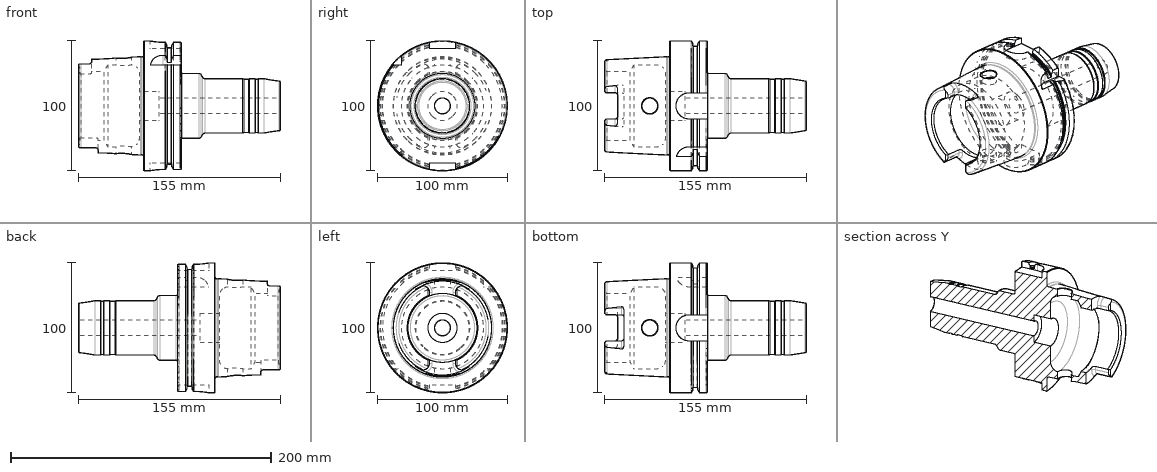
import cadquery as cq
import math

SHANK_LENGTH = 50.0
NOSE_END = 105.0

TAPER_RATIO = 1 / 10
TAPER_GAUGE_RADIUS = 37.5
TAPER_GAUGE_X = -10.0
TAPER_END_X = -2.4
SHANK_ROUND = 2.0
RELIEF_RADIUS = 75.42 / 2
RELIEF_START_X = -1.6
RELIEF_FILLET = 1.3

FLANGE_RADIUS = 50.0
FLANGE_WIDTH = 29.0
FLANGE_FRONT_CHAMFER = 0.5
FLANGE_BACK_ROUND = 1.0
GROOVE_RADIUS = 46.0
GROOVE_CENTRE_X = 19.7
GROOVE_WIDTH = 3.7
GROOVE_FLANK_ANGLE = math.radians(30)
GROOVE_FRONT_EDGE_X = 16.7
GROOVE_BACK_EDGE_X = 22.95
GROOVE_EDGE_ROUND = 0.5
GROOVE_FLOOR_FILLET = 0.45

NECK_RADIUS = 25.0
NECK_END_X = 42.5
NECK_FILLET = 1.0
SHOULDER_ROUND = 2.0
SHOULDER_ANGLE = math.radians(60)
NOSE_RADIUS = 21.0
NOSE_GROOVE_RADIUS = 20.5
NOSE_GROOVE_WALL = 0.5
LONG_GROOVE_START_X = 76.1
LONG_GROOVE_LEAD = 1.0
LONG_GROOVE_END_X = 81.2
SHORT_GROOVE_START_X = 85.5
SHORT_GROOVE_END_X = 88.2
NOSE_TAPER_START_X = 92.5
NOSE_TAPER_ANGLE = math.radians(9)
NOSE_ROUND = 1.0

BORE_RADIUS = 26.5
BORE_CHAMFER = 0.7
BORE_CHAMFER_LENGTH = 1.9
BORE_LAND_LENGTH = 19.6
UNDERCUT_RADIUS = 31.5
UNDERCUT_SHOULDER_ANGLE = math.radians(60)
BORE_DEPTH = 46.8
FLOOR_RADIUS = 24.7
COOLANT_THREAD_RADIUS = 22.38 / 2
COOLANT_THREAD_LENGTH = 15.0
THROUGH_RADIUS = 6.0

KEYWAY_WIDTH = 20.0
KEYWAY_TOP = 32.3
KEYWAY_CORNER_RADIUS = 5.0
KEYWAY_FLOOR_FILLET = 2.0
KEYWAY_EDGE_CHAMFER = 1.2
UPPER_KEYWAY_DEPTH = 10.0
LOWER_KEYWAY_DEPTH = 15.0

CROSS_HOLE_RADIUS = 6.0
CROSS_HOLE_CHAMFER = 0.4
CROSS_HOLE_X = -15.3

SLOT_RADIUS = 10.0
SLOT_CENTRE_X = 14.8
SLOT_FLOOR = 44.0
NOTCH_FLOOR = 31.5
NOTCH_WALL = 31.5

CLEARANCE = 10.0


def taper_radius(x):
    """Outer radius of the taper at position x."""
    return TAPER_GAUGE_RADIUS + (x - TAPER_GAUGE_X) * TAPER_RATIO / 2


def revolve_about_x(outline):
    return outline.close().revolve(360, (0, 0, 0), (1, 0, 0))


def shank_body():
    """Taper with a rounded open end and a relief that blends into the flange face."""
    outline = (
        cq.Workplane("XY")
        .moveTo(-SHANK_LENGTH, 0)
        .lineTo(-SHANK_LENGTH, taper_radius(-SHANK_LENGTH))
        .lineTo(TAPER_END_X, taper_radius(TAPER_END_X))
        .lineTo(RELIEF_START_X, RELIEF_RADIUS)
        .lineTo(-RELIEF_FILLET, RELIEF_RADIUS)
        .radiusArc((0, RELIEF_RADIUS + RELIEF_FILLET), -RELIEF_FILLET)
        .lineTo(0, 0)
    )
    return revolve_about_x(outline).faces("<X").edges().fillet(SHANK_ROUND)


def flange_body():
    """Flange with the gripper groove: sloped flanks above a straight-walled floor channel."""
    front_wall_x = GROOVE_CENTRE_X - GROOVE_WIDTH / 2
    back_wall_x = GROOVE_CENTRE_X + GROOVE_WIDTH / 2
    front_flank_depth = (front_wall_x - GROOVE_FRONT_EDGE_X) / math.tan(GROOVE_FLANK_ANGLE)
    back_flank_depth = (GROOVE_BACK_EDGE_X - back_wall_x) / math.tan(GROOVE_FLANK_ANGLE)
    tangent_length = GROOVE_EDGE_ROUND * math.tan((math.pi / 2 - GROOVE_FLANK_ANGLE) / 2)
    round_end = (
        GROOVE_FRONT_EDGE_X + tangent_length * math.sin(GROOVE_FLANK_ANGLE),
        FLANGE_RADIUS - tangent_length * math.cos(GROOVE_FLANK_ANGLE),
    )
    fillet_top = GROOVE_RADIUS + GROOVE_FLOOR_FILLET
    outline = (
        cq.Workplane("XY")
        .moveTo(0, 0)
        .lineTo(0, FLANGE_RADIUS - FLANGE_FRONT_CHAMFER)
        .lineTo(FLANGE_FRONT_CHAMFER, FLANGE_RADIUS)
        .lineTo(GROOVE_FRONT_EDGE_X - tangent_length, FLANGE_RADIUS)
        .radiusArc(round_end, GROOVE_EDGE_ROUND)
        .lineTo(front_wall_x, FLANGE_RADIUS - front_flank_depth)
        .lineTo(front_wall_x, fillet_top)
        .radiusArc((front_wall_x + GROOVE_FLOOR_FILLET, GROOVE_RADIUS), -GROOVE_FLOOR_FILLET)
        .lineTo(back_wall_x - GROOVE_FLOOR_FILLET, GROOVE_RADIUS)
        .radiusArc((back_wall_x, fillet_top), -GROOVE_FLOOR_FILLET)
        .lineTo(back_wall_x, FLANGE_RADIUS - back_flank_depth)
        .lineTo(GROOVE_BACK_EDGE_X, FLANGE_RADIUS)
        .lineTo(FLANGE_WIDTH - FLANGE_BACK_ROUND, FLANGE_RADIUS)
        .radiusArc((FLANGE_WIDTH, FLANGE_RADIUS - FLANGE_BACK_ROUND), FLANGE_BACK_ROUND)
        .lineTo(FLANGE_WIDTH, 0)
    )
    return revolve_about_x(outline)


def nose_groove(outline, start_x, lead, end_x):
    """Shallow ring groove with sloped walls, added to the nose outline."""
    return (
        outline.lineTo(start_x, NOSE_RADIUS)
        .lineTo(start_x + lead, NOSE_GROOVE_RADIUS)
        .lineTo(end_x - NOSE_GROOVE_WALL, NOSE_GROOVE_RADIUS)
        .lineTo(end_x, NOSE_RADIUS)
    )


def nose_body():
    """Neck, sloped shoulder and grooved nose with a tapered tip."""
    arc_length = SHOULDER_ROUND * math.sin(SHOULDER_ANGLE)
    arc_drop = SHOULDER_ROUND * (1 - math.cos(SHOULDER_ANGLE))
    cone_length = (NECK_RADIUS - NOSE_RADIUS - 2 * arc_drop) / math.tan(SHOULDER_ANGLE)
    cone_end_x = NECK_END_X + arc_length + cone_length
    tip_radius = NOSE_RADIUS - (NOSE_END - NOSE_TAPER_START_X) * math.tan(NOSE_TAPER_ANGLE)

    outline = (
        cq.Workplane("XY")
        .moveTo(FLANGE_WIDTH, 0)
        .lineTo(FLANGE_WIDTH, NECK_RADIUS + NECK_FILLET)
        .radiusArc((FLANGE_WIDTH + NECK_FILLET, NECK_RADIUS), -NECK_FILLET)
        .lineTo(NECK_END_X, NECK_RADIUS)
        .radiusArc((NECK_END_X + arc_length, NECK_RADIUS - arc_drop), SHOULDER_ROUND)
        .lineTo(cone_end_x, NOSE_RADIUS + arc_drop)
        .radiusArc((cone_end_x + arc_length, NOSE_RADIUS), -SHOULDER_ROUND)
    )
    outline = nose_groove(outline, LONG_GROOVE_START_X, LONG_GROOVE_LEAD, LONG_GROOVE_END_X)
    outline = nose_groove(outline, SHORT_GROOVE_START_X, NOSE_GROOVE_WALL, SHORT_GROOVE_END_X)
    outline = (
        outline.lineTo(NOSE_TAPER_START_X, NOSE_RADIUS)
        .lineTo(NOSE_END, tip_radius)
        .lineTo(NOSE_END, 0)
    )
    return revolve_about_x(outline).faces(">X").edges().fillet(NOSE_ROUND)


def shank_bore():
    """Clamping bore with its undercut, the coolant tube seat and the through bore."""
    shoulder_length = (UNDERCUT_RADIUS - BORE_RADIUS) / math.tan(UNDERCUT_SHOULDER_ANGLE)
    floor_fillet = UNDERCUT_RADIUS - FLOOR_RADIUS
    land_end_x = BORE_LAND_LENGTH - SHANK_LENGTH
    floor_x = BORE_DEPTH - SHANK_LENGTH
    seat_x = floor_x + COOLANT_THREAD_LENGTH
    outline = (
        cq.Workplane("XY")
        .moveTo(-SHANK_LENGTH, 0)
        .lineTo(-SHANK_LENGTH, BORE_RADIUS + BORE_CHAMFER)
        .lineTo(BORE_CHAMFER_LENGTH - SHANK_LENGTH, BORE_RADIUS)
        .lineTo(land_end_x, BORE_RADIUS)
        .lineTo(land_end_x + shoulder_length, UNDERCUT_RADIUS)
        .lineTo(floor_x - floor_fillet, UNDERCUT_RADIUS)
        .radiusArc((floor_x, FLOOR_RADIUS), floor_fillet)
        .lineTo(floor_x, COOLANT_THREAD_RADIUS)
        .lineTo(seat_x, COOLANT_THREAD_RADIUS)
        .lineTo(seat_x, THROUGH_RADIUS)
        .lineTo(NOSE_END, THROUGH_RADIUS)
        .lineTo(NOSE_END, 0)
    )
    return revolve_about_x(outline)


def keyway(depth):
    """Keyway on the +Z side: flat walls that flare outward through rounded corners."""
    half_width = KEYWAY_WIDTH / 2
    flare_half_width = half_width + KEYWAY_CORNER_RADIUS
    straight_top = KEYWAY_TOP - KEYWAY_CORNER_RADIUS
    outer_half_width = flare_half_width + CLEARANCE
    outer_top = KEYWAY_TOP + CLEARANCE
    slot = (
        cq.Workplane("YZ", origin=(-SHANK_LENGTH, 0, 0))
        .moveTo(half_width, 0)
        .lineTo(half_width, straight_top)
        .radiusArc((flare_half_width, KEYWAY_TOP), KEYWAY_CORNER_RADIUS)
        .lineTo(outer_half_width, KEYWAY_TOP)
        .lineTo(outer_half_width, outer_top)
        .lineTo(-outer_half_width, outer_top)
        .lineTo(-outer_half_width, KEYWAY_TOP)
        .lineTo(-flare_half_width, KEYWAY_TOP)
        .radiusArc((-half_width, straight_top), KEYWAY_CORNER_RADIUS)
        .lineTo(-half_width, 0)
        .close()
        .extrude(depth)
        .faces(">X")
        .edges()
        .fillet(KEYWAY_FLOOR_FILLET)
    )
    lead_in = (
        cq.Workplane("XY")
        .moveTo(-SHANK_LENGTH, half_width + KEYWAY_EDGE_CHAMFER)
        .lineTo(KEYWAY_EDGE_CHAMFER - SHANK_LENGTH, half_width)
        .lineTo(KEYWAY_EDGE_CHAMFER - SHANK_LENGTH, -half_width)
        .lineTo(-SHANK_LENGTH, -half_width - KEYWAY_EDGE_CHAMFER)
        .close()
        .extrude(KEYWAY_TOP)
    )
    return slot.union(lead_in)


def drill_cross_hole(part):
    """Radial hole through both walls of the shank, with lightly broken outer edges."""
    drill = (
        cq.Workplane("XY", origin=(CROSS_HOLE_X, 0, -FLANGE_RADIUS))
        .circle(CROSS_HOLE_RADIUS)
        .extrude(2 * FLANGE_RADIUS)
    )
    part = part.cut(drill)
    for side in (-1, 1):
        rim_z = side * taper_radius(CROSS_HOLE_X)
        rim = cq.selectors.NearestToPointSelector((CROSS_HOLE_X, 0, rim_z))
        part = part.edges(rim).chamfer(CROSS_HOLE_CHAMFER)
    return part


def flange_slot(centre_y, floor_z):
    """Slot with one round end, open towards the nose and cut down to floor_z."""
    run_out = FLANGE_WIDTH + CLEARANCE - SLOT_CENTRE_X
    height = FLANGE_RADIUS + CLEARANCE - floor_z
    origin = (SLOT_CENTRE_X, centre_y, floor_z)
    round_end = cq.Workplane("XY", origin=origin).circle(SLOT_RADIUS).extrude(height)
    straight = (
        cq.Workplane("XY", origin=origin)
        .rect(run_out, 2 * SLOT_RADIUS)
        .extrude(height)
        .translate((run_out / 2, 0, 0))
    )
    return round_end.union(straight)


body = shank_body().union(flange_body()).union(nose_body())
body = body.cut(shank_bore())

body = body.cut(keyway(UPPER_KEYWAY_DEPTH))
body = body.cut(keyway(LOWER_KEYWAY_DEPTH).mirror("XY"))
body = drill_cross_hole(body)

drive_slot = flange_slot(0, SLOT_FLOOR)
body = body.cut(drive_slot).cut(drive_slot.mirror("XY"))
body = body.cut(flange_slot(-NOTCH_WALL - SLOT_RADIUS, NOTCH_FLOOR))

result = body